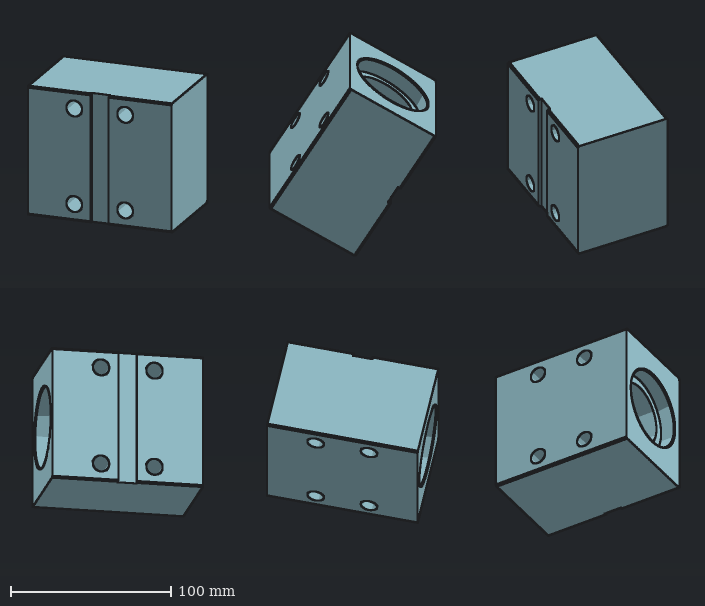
import cadquery as cq

LENGTH = 96.0
WIDTH = 63.0
HEIGHT = 85.0
EDGE_CHAMFER = 1.0

KEYWAY_WIDTH = 12.0
KEYWAY_DEPTH = 2.0

HOLE_DIAMETER = 10.5
HOLE_PITCH_X = 34.0
HOLE_PITCH_Z = 63.0

SEAT_DIAMETER = 51.0
SEAT_DEPTH = 10.0
SEAT_CHAMFER = 0.7
BORE_DIAMETER = 40.0
END_WALL = SEAT_DEPTH


def block():
    body = cq.Workplane("XY").box(LENGTH, WIDTH, HEIGHT)
    return body.edges("|X").chamfer(EDGE_CHAMFER)


def keyway():
    return (
        cq.Workplane("XY")
        .box(KEYWAY_WIDTH, 2 * KEYWAY_DEPTH, HEIGHT)
        .translate((0, -WIDTH / 2, 0))
    )


def mounting_holes():
    return (
        cq.Workplane("XZ", origin=(0, WIDTH / 2, 0))
        .rarray(HOLE_PITCH_X, HOLE_PITCH_Z, 2, 2)
        .circle(HOLE_DIAMETER / 2)
        .extrude(WIDTH)
    )


def stepped_bore():
    """Revolved cavity: lead-in chamfer, wide seat, then a blind bore."""
    seat_radius = SEAT_DIAMETER / 2
    bore_radius = BORE_DIAMETER / 2
    open_end = -LENGTH / 2
    seat_floor = open_end + SEAT_DEPTH
    bore_floor = LENGTH / 2 - END_WALL
    return (
        cq.Workplane("XY")
        .moveTo(open_end, 0)
        .lineTo(open_end, seat_radius + SEAT_CHAMFER)
        .lineTo(open_end + SEAT_CHAMFER, seat_radius)
        .lineTo(seat_floor, seat_radius)
        .lineTo(seat_floor, bore_radius)
        .lineTo(bore_floor, bore_radius)
        .lineTo(bore_floor, 0)
        .close()
        .revolve(360, (0, 0, 0), (1, 0, 0))
    )


result = block().cut(keyway()).cut(mounting_holes()).cut(stepped_bore())